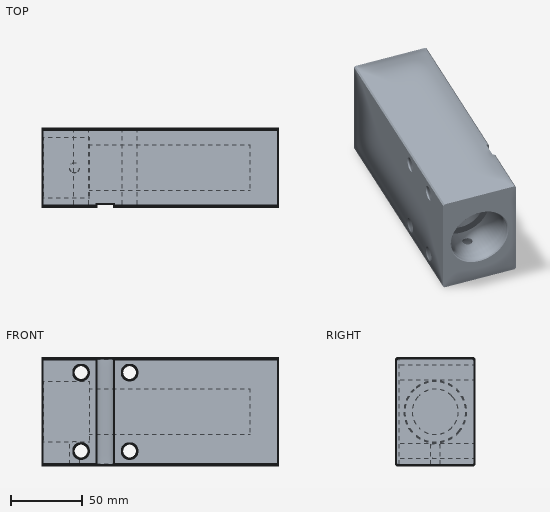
import cadquery as cq

LENGTH = 165.0
DEPTH = 55.0
HEIGHT = 75.0
EDGE_CHAMFER = 1.0

GROOVE_CENTER_X = 44.0
GROOVE_WIDTH = 12.0
GROOVE_DEPTH = 2.0

HOLE_DIAMETER = 10.5
HOLE_PITCH_X = 34.0
HOLE_PITCH_Z = 55.0

MOUTH_DIAMETER = 42.4
MOUTH_DEPTH = 33.0
MOUTH_CHAMFER = 0.7
BORE_DIAMETER = 32.0
END_WALL = 19.8

PORT_DIAMETER = 7.0
PORT_X = 22.5


def make_block():
    """Block starting at X = 0, with its four long edges chamfered."""
    block = cq.Workplane("XY").box(LENGTH, DEPTH, HEIGHT, centered=(False, True, True))
    return block.edges("|X").chamfer(EDGE_CHAMFER)


def make_groove():
    """Shallow key groove running the full height of the front face."""
    return (
        cq.Workplane("XY", origin=(GROOVE_CENTER_X, -DEPTH / 2, 0))
        .box(GROOVE_WIDTH, 2 * GROOVE_DEPTH, HEIGHT)
    )


def make_mounting_holes():
    """Four holes straight through the block along Y."""
    return (
        cq.Workplane("XZ", origin=(GROOVE_CENTER_X, DEPTH / 2, 0))
        .rarray(HOLE_PITCH_X, HOLE_PITCH_Z, 2, 2)
        .circle(HOLE_DIAMETER / 2)
        .extrude(DEPTH)
    )


def make_bore():
    """Half-profile of the chamfered mouth and narrower bore, turned about the X axis."""
    mouth_radius = MOUTH_DIAMETER / 2
    bore_radius = BORE_DIAMETER / 2
    bore_end = LENGTH - END_WALL
    return (
        cq.Workplane("XY")
        .moveTo(0, 0)
        .lineTo(0, mouth_radius + MOUTH_CHAMFER)
        .lineTo(MOUTH_CHAMFER, mouth_radius)
        .lineTo(MOUTH_DEPTH, mouth_radius)
        .lineTo(MOUTH_DEPTH, bore_radius)
        .lineTo(bore_end, bore_radius)
        .lineTo(bore_end, 0)
        .close()
        .revolve(360, (0, 0, 0), (1, 0, 0))
    )


def make_port():
    """Vertical hole from the underside up to the bore axis."""
    return (
        cq.Workplane("XY", origin=(PORT_X, 0, -HEIGHT / 2))
        .circle(PORT_DIAMETER / 2)
        .extrude(HEIGHT / 2)
    )


result = (
    make_block()
    .cut(make_groove())
    .cut(make_mounting_holes())
    .cut(make_bore())
    .cut(make_port())
)